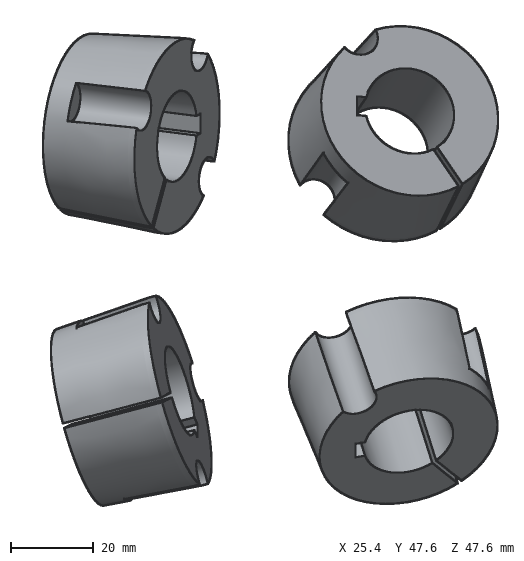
import cadquery as cq
import math


length = 25.4
large_diameter = 47.625
taper_half_angle = 4.0
rim_width = 1.7

bore_diameter = 22.225
keyway_width = 4.9
keyway_depth_from_axis = 13.15

screw_circle_radius = 22.2
through_hole_angle = 55.0
blind_hole_spacing = 95.0
blind_hole_length = 19.05
screw_diameter = 9.525
wide_screw_diameter = 9.7

split_width = 1.15
split_angle = through_hole_angle + 180.0

large_radius = large_diameter / 2
taper_length = length - rim_width
small_radius = large_radius - taper_length * math.tan(math.radians(taper_half_angle))


def make_body():
    """Tapered ring blank with a short cylindrical rim at the large end."""
    profile = (
        cq.Workplane("XY")
        .moveTo(0, 0)
        .lineTo(0, small_radius)
        .lineTo(taper_length, large_radius)
        .lineTo(length, large_radius)
        .lineTo(length, 0)
        .close()
    )
    return profile.revolve(360, (0, 0, 0), (1, 0, 0))


def make_bore():
    return cq.Workplane("YZ").circle(bore_diameter / 2).extrude(length)


def make_keyway():
    return (
        cq.Workplane("YZ")
        .rect(keyway_depth_from_axis, keyway_width)
        .extrude(length)
        .translate((0, keyway_depth_from_axis / 2, 0))
    )


def make_screw_hole(angle, diameter, depth):
    """Axial hole straddling the taper surface, drilled from the large end."""
    hole_y = screw_circle_radius * math.cos(math.radians(angle))
    hole_z = screw_circle_radius * math.sin(math.radians(angle))
    return (
        cq.Workplane("YZ", origin=(length - depth, 0, 0))
        .center(hole_y, hole_z)
        .circle(diameter / 2)
        .extrude(depth)
    )


def make_split():
    """Radial slot from the bore through the outer surface along the full length."""
    return (
        cq.Workplane("YZ")
        .rect(large_diameter, split_width)
        .extrude(length)
        .translate((0, large_radius, 0))
        .rotate((0, 0, 0), (1, 0, 0), split_angle)
    )


through_hole = make_screw_hole(through_hole_angle, screw_diameter, length)
narrow_blind_hole = make_screw_hole(
    through_hole_angle - blind_hole_spacing, screw_diameter, blind_hole_length
)
wide_blind_hole = make_screw_hole(
    through_hole_angle + blind_hole_spacing, wide_screw_diameter, blind_hole_length
)

result = (
    make_body()
    .cut(make_bore())
    .cut(make_keyway())
    .cut(through_hole)
    .cut(narrow_blind_hole)
    .cut(wide_blind_hole)
    .cut(make_split())
)